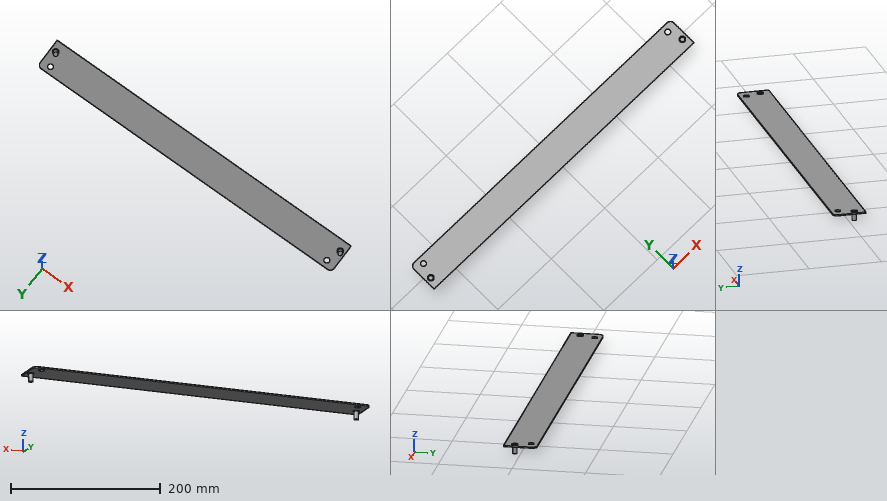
import cadquery as cq

PLATE_LENGTH = 486.0
PLATE_WIDTH = 44.5
PLATE_THICKNESS = 2.0
CORNER_RADIUS = 6.5

HOLE_DIAMETER = 8.0
HOLE_END_INSET = 14.5
HOLE_BACK_INSET = 9.5

TOTAL_HEIGHT = 12.5
PIN_DIAMETER = 6.5
HEAD_DIAMETER = 8.7
HEAD_THICKNESS = 0.5
HEAD_RECESS = 1.0
PIN_END_INSET = 8.0
PIN_BACK_INSET = 30.5

BACK_Y = PLATE_WIDTH / 2
PIN_HOLE_STEP = HEAD_RECESS + HEAD_THICKNESS
HOLE_X = PLATE_LENGTH / 2 - HOLE_END_INSET
HOLE_Y = BACK_Y - HOLE_BACK_INSET
PIN_X = PLATE_LENGTH / 2 - PIN_END_INSET
PIN_Y = BACK_Y - PIN_BACK_INSET


def make_pin(x):
    """Vertical pin at the given X, hanging from a flat round head."""
    head_top = cq.Workplane("XY", origin=(x, PIN_Y, -HEAD_RECESS))
    shank = head_top.circle(PIN_DIAMETER / 2).extrude(HEAD_RECESS - TOTAL_HEIGHT)
    head = head_top.circle(HEAD_DIAMETER / 2).extrude(-HEAD_THICKNESS)
    return shank.union(head)


def make_plate():
    """Thin plate with rounded back corners, mounting holes and stepped pin holes."""
    plate = cq.Workplane("XY").rect(PLATE_LENGTH, PLATE_WIDTH).extrude(-PLATE_THICKNESS)
    plate = plate.edges("|Z and >Y").fillet(CORNER_RADIUS)
    plate = (
        plate.faces(">Z").workplane(origin=(0, 0, 0))
        .pushPoints([(-HOLE_X, HOLE_Y), (HOLE_X, HOLE_Y)])
        .hole(HOLE_DIAMETER)
    )
    return (
        plate.faces(">Z").workplane(origin=(0, 0, 0))
        .pushPoints([(-PIN_X, PIN_Y), (PIN_X, PIN_Y)])
        .cboreHole(PIN_DIAMETER, HEAD_DIAMETER, PIN_HOLE_STEP)
    )


plate = make_plate()
pins = [make_pin(x) for x in (-PIN_X, PIN_X)]

result = cq.Compound.makeCompound([plate.val(), *[pin.val() for pin in pins]])